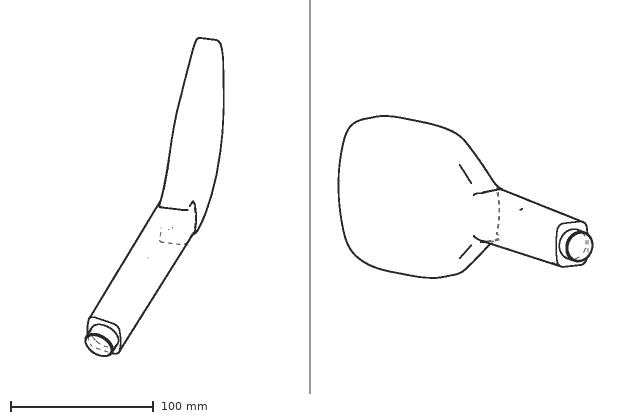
import cadquery as cq
import math

handle_x = 15.3
handle_half_depth = 13.0
handle_crown = 2.0
handle_end_y = -126.5
handle_top_y = 1.5
handle_end_half_width = 15.5
handle_top_half_width = 18.0
handle_corner_radius = 5.5

connector_x = 16.0
connector_radius = 10.7
connector_end_y = -137.0
connector_overlap = 2.7
connector_chamfer = 0.8

head_tilt = 15.0
head_origin = (handle_x, -11.0, 0.0)

head_tip_u = 150.5
head_half_width = 54.0
head_widest_u = 87.5
rim_points = [
    (54.8, 52.3),
    (head_widest_u, head_half_width),
    (126.0, 50.7),
    (138.5, 43.5),
    (146.5, 27.5),
]
shoulder_end = (37.0, 45.7)
neck_flare = (11.5, 23.0)
neck_bend = (5.5, 19.2)
neck_end = (-1.5, 18.0)
neck_angle = math.atan2(shoulder_end[1] - neck_flare[1], shoulder_end[0] - neck_flare[0])
away_from_neck = (math.cos(neck_angle), math.sin(neck_angle))
toward_neck = (-away_from_neck[0], -away_from_neck[1])
outline_depth = 82.1
front_rim_radius = 1.6
back_rim_radius = 3.3

head_sections = [
    (-1.5, 22.0, -12.0, -8.0, 8.2, 13.0),
    (12.3, 29.5, -10.7, -5.8, 9.3, 16.0),
    (35.5, 49.8, -10.0, -5.2, 9.0, 19.7),
    (63.0, 59.0, -11.5, -4.7, 8.5, 21.4),
    (95.8, 59.0, -11.2, -4.5, 7.7, 19.7),
    (128.7, 57.5, -8.0, -4.5, 7.5, 15.3),
    (153.3, 54.8, -3.8, -3.3, 8.2, 10.0),
]


def crowned_section(plane, half_width, front_crown, front_edge, back_edge, back_crown):
    """Straight-sided section with a bulging arc at the front and at the back."""
    return (
        cq.Workplane(plane)
        .moveTo(front_edge, -half_width)
        .lineTo(back_edge, -half_width)
        .threePointArc((back_crown, 0), (back_edge, half_width))
        .lineTo(front_edge, half_width)
        .threePointArc((front_crown, 0), (front_edge, -half_width))
        .close()
        .val()
    )


def section_plane(origin, axis):
    """Plane across an axis, with its local y along Z."""
    x_direction = (axis[1], -axis[0], 0)
    return cq.Plane(origin=origin, xDir=x_direction, normal=(-axis[0], -axis[1], 0))


def make_handle():
    wires = []
    for y, half_width in (
        (handle_end_y, handle_end_half_width),
        (handle_top_y, handle_top_half_width),
    ):
        plane = section_plane((handle_x, y, 0), (0, 1))
        edge = handle_half_depth - handle_crown
        wires.append(
            crowned_section(plane, half_width, -handle_half_depth, -edge, edge, handle_half_depth)
        )
    long_edges = cq.selectors.LengthNthSelector(-1)
    handle = cq.Workplane(cq.Solid.makeLoft(wires, True))
    return handle.edges(long_edges).fillet(handle_corner_radius)


def make_connector():
    length = handle_end_y + connector_overlap - connector_end_y
    plane = cq.Plane(origin=(connector_x, connector_end_y, 0), xDir=(1, 0, 0), normal=(0, 1, 0))
    connector = cq.Workplane(plane).circle(connector_radius).extrude(length)
    return connector.faces("<Y").chamfer(connector_chamfer)


def mirrored(point):
    """Outline point on the other side of the head's centre line."""
    return (point[0], -point[1])


def make_head():
    tilt = math.radians(head_tilt)
    axis = (-math.sin(tilt), math.cos(tilt))
    wires = []
    for u, *sizes in head_sections:
        origin = (head_origin[0] + u * axis[0], head_origin[1] + u * axis[1], 0)
        wires.append(crowned_section(section_plane(origin, axis), *sizes))
    body = cq.Workplane(cq.Solid.makeLoft(wires))

    face_plane = cq.Plane(origin=head_origin, xDir=(*axis, 0), normal=(axis[1], -axis[0], 0))
    lower_rim = [mirrored(point) for point in rim_points]
    rim_curve = [*lower_rim, (head_tip_u, 0), *reversed(rim_points), shoulder_end]
    outline = (
        cq.Workplane(face_plane)
        .moveTo(*mirrored(neck_end))
        .threePointArc(mirrored(neck_bend), mirrored(neck_flare))
        .lineTo(*mirrored(shoulder_end))
        .spline(
            rim_curve,
            tangents=[mirrored(away_from_neck), toward_neck],
            includeCurrent=True,
            scale=False,
        )
        .lineTo(*neck_flare)
        .threePointArc(neck_bend, neck_end)
        .close()
        .extrude(outline_depth / 2, both=True)
    )
    head = body.intersect(outline)
    crowned_faces = sorted(head.faces().vals(), key=lambda face: face.Area())[-2:]
    front_face, back_face = sorted(crowned_faces, key=lambda face: face.Center().x)
    head = head.newObject(back_face.Edges()).fillet(back_rim_radius)
    return head.newObject(front_face.Edges()).fillet(front_rim_radius)


result = make_head().union(make_handle()).union(make_connector())